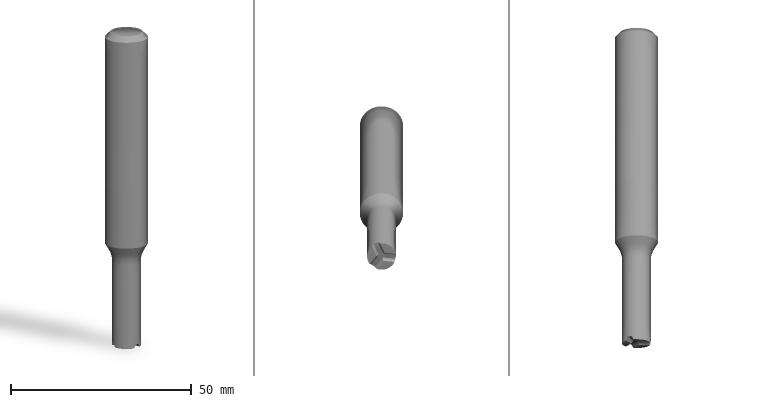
import cadquery as cq
import math

TOTAL_LENGTH = 90.5
SHANK_RADIUS = 12 / 2
NECK_RADIUS = 8 / 2

CLAMPING_LENGTH = 45.0
TOP_CHAMFER = 1.5

NECK_TOP_Z = 24.5
ARC_RADIUS = 6.0
CONE_HALF_ANGLE = math.radians(30)

TIP_LENGTH = 17.5
NOTCH_DEPTH = 1.0
NOTCH_MOUTH_WIDTH = 2.45
NOTCH_FLANK_ANGLE = math.radians(60)
NOTCH_OVERRUN = 1.0
NOTCH_COUNT = 3
FIRST_NOTCH_ANGLE = 30


def arc_point(angle):
    """Radius and height on the concave arc, turned by `angle` up from the neck."""
    radius = NECK_RADIUS + ARC_RADIUS * (1 - math.cos(angle))
    height = NECK_TOP_Z + ARC_RADIUS * math.sin(angle)
    return radius, height


def make_shank():
    """Chamfered shank, cone, concave arc and neck, turned as one profile."""
    cone_start = arc_point(CONE_HALF_ANGLE)
    cone_height = (SHANK_RADIUS - cone_start[0]) / math.tan(CONE_HALF_ANGLE)
    cone_top_z = cone_start[1] + cone_height
    clamping_start_z = TOTAL_LENGTH - CLAMPING_LENGTH
    return (
        cq.Workplane("XZ")
        .moveTo(0, TIP_LENGTH)
        .lineTo(NECK_RADIUS, TIP_LENGTH)
        .lineTo(NECK_RADIUS, NECK_TOP_Z)
        .threePointArc(arc_point(CONE_HALF_ANGLE / 2), cone_start)
        .lineTo(SHANK_RADIUS, cone_top_z)
        .lineTo(SHANK_RADIUS, clamping_start_z)
        .lineTo(SHANK_RADIUS, TOTAL_LENGTH - TOP_CHAMFER)
        .lineTo(SHANK_RADIUS - TOP_CHAMFER, TOTAL_LENGTH)
        .lineTo(0, TOTAL_LENGTH)
        .close()
        .revolve(360, (0, 0, 0), (0, 1, 0), clean=False)
    )


def make_notch(angle):
    """Trapezoidal groove in the tip face, running from the axis out at `angle` about Z."""
    mouth_half = NOTCH_MOUTH_WIDTH / 2
    floor_half = mouth_half - NOTCH_DEPTH / math.tan(NOTCH_FLANK_ANGLE)
    profile = [
        (-mouth_half, 0),
        (mouth_half, 0),
        (floor_half, NOTCH_DEPTH),
        (-floor_half, NOTCH_DEPTH),
    ]
    groove = cq.Workplane("YZ").polyline(profile).close().extrude(NECK_RADIUS + NOTCH_OVERRUN)
    return groove.rotate((0, 0, 0), (0, 0, 1), angle)


def make_tip():
    """Cylindrical tip with equally spaced radial notches in its end face."""
    tip = cq.Workplane("XY").circle(NECK_RADIUS).extrude(TIP_LENGTH)
    for index in range(NOTCH_COUNT):
        tip = tip.cut(make_notch(FIRST_NOTCH_ANGLE + index * 360 / NOTCH_COUNT))
    return tip


shank = make_shank()
tip = make_tip()

result = cq.Compound.makeCompound([shank.val(), tip.val()])